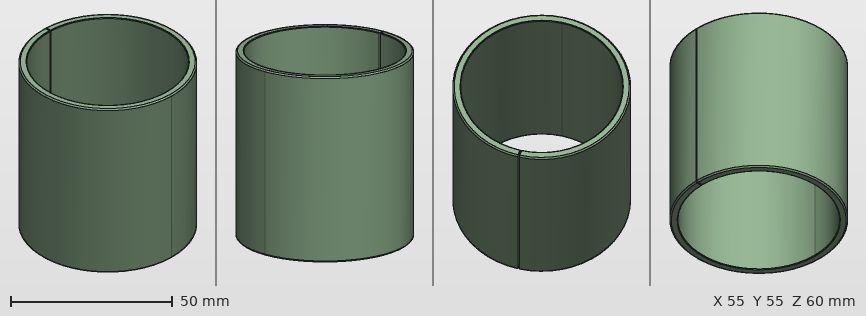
import cadquery as cq

length = 60.0
outer_diameter = 55.0
wall = 2.5
slit_width = 0.5
outer_chamfer = 0.5
inner_chamfer = 0.25

outer_radius = outer_diameter / 2
inner_radius = outer_radius - wall
half_length = length / 2


def bushing_body():
    """Revolve the wall section, chamfered at both ends, about Z."""
    section = (
        cq.Workplane("XZ")
        .moveTo(inner_radius, half_length - inner_chamfer)
        .lineTo(inner_radius + inner_chamfer, half_length)
        .lineTo(outer_radius - outer_chamfer, half_length)
        .lineTo(outer_radius, half_length - outer_chamfer)
        .lineTo(outer_radius, -half_length + outer_chamfer)
        .lineTo(outer_radius - outer_chamfer, -half_length)
        .lineTo(inner_radius + inner_chamfer, -half_length)
        .lineTo(inner_radius, -half_length + inner_chamfer)
        .close()
    )
    return section.revolve(360, (0, 0, 0), (0, 1, 0))


def slit_cutter():
    """Full-length slit on the -X side, with one face on the XZ plane and the other toward +Y."""
    cutter = cq.Workplane("XY").box(outer_radius, slit_width, length)
    return cutter.translate((-outer_radius, slit_width / 2, 0))


result = bushing_body().cut(slit_cutter())